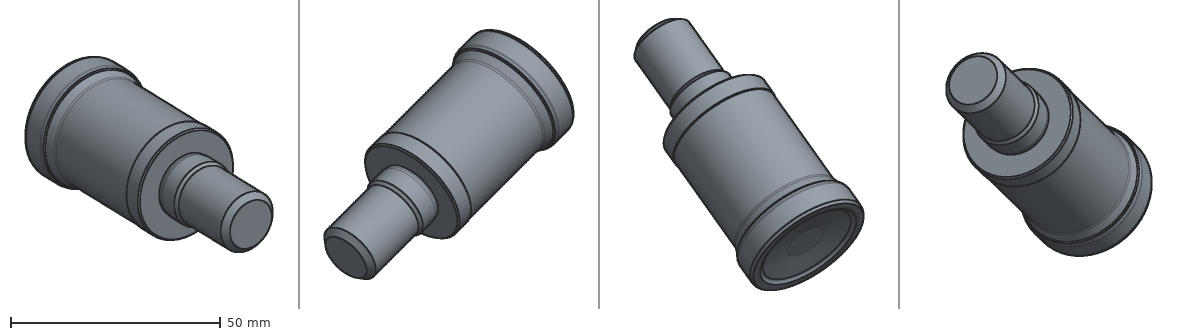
import cadquery as cq


cap_diameter = 31.95
cap_length = 7.3
cap_front_fillet = 0.8
cap_edge_land = 0.3
cap_edge_rise = 0.1
cap_rear_taper_start = 6.25
cap_rear_round_start = 6.5
cap_rear_diameter = 31.3
cap_rear_round = 1.35
cap_face_diameter = 30.45
lip_face_diameter = 28.4
lip_step_diameter = 27.05
lip_step_depth = 0.1
lip_cove_diameter = 26.65
lip_cove_start = 0.2
lip_cove_radius = 1.35
cap_bore_diameter = 24.75
dish_start = 0.75

dish_floor_diameter = 10.05
dish_depth = 0.9
cone_diameter = 30.6
cone_start = 7.6
cone_end_diameter = 29.0
cone_end = 9.9
barrel_diameter = 28.6
barrel_start = 10.55
collar_diameter = 29.0
collar_start = 37.95
collar_front_chamfer = 0.2
collar_end = 42.9
collar_chamfer = 0.4
relief_diameter = 16.6
relief_end = 43.5
boss_diameter = 17.0
boss_start = 44.35
boss_end = 49.1
stud_diameter = 15.8
stud_start = 50.05
total_length = 68.0
stud_chamfer = 1.55


def turn(profile):
    """Revolve a closed (X, radius) profile a full turn about the X axis."""
    return profile.close().revolve(360, (0, 0, 0), (1, 0, 0))


def make_cap():
    radius = cap_diameter / 2
    bore_radius = cap_bore_diameter / 2
    round_radius = radius - cap_edge_rise
    round_end = cap_edge_rise + cap_front_fillet
    face_radius = cap_face_diameter / 2
    profile = (
        cq.Workplane("XY")
        .moveTo(0, lip_face_diameter / 2)
        .lineTo(0, face_radius)
        .lineTo(cap_edge_rise, face_radius + cap_edge_land)
        .radiusArc((round_end, round_radius), cap_front_fillet)
        .lineTo(round_end + cap_edge_land, radius)
        .lineTo(cap_rear_taper_start, radius)
        .lineTo(cap_rear_round_start, round_radius)
        .radiusArc((cap_length, cap_rear_diameter / 2), cap_rear_round)
        .lineTo(cap_length, bore_radius)
        .lineTo(dish_start, bore_radius)
        .radiusArc((lip_cove_start, lip_cove_diameter / 2), -lip_cove_radius)
        .lineTo(lip_step_depth, lip_step_diameter / 2)
    )
    return turn(profile)


def make_housing():
    plug_radius = cap_bore_diameter / 2
    collar_radius = collar_diameter / 2
    stud_radius = stud_diameter / 2
    profile = (
        cq.Workplane("XY")
        .moveTo(dish_start + dish_depth, 0)
        .lineTo(dish_start + dish_depth, dish_floor_diameter / 2)
        .lineTo(dish_start, plug_radius)
        .lineTo(cap_length, plug_radius)
        .lineTo(cap_length, cap_rear_diameter / 2)
        .lineTo(cone_start, cone_diameter / 2)
        .lineTo(cone_end, cone_end_diameter / 2)
        .lineTo(barrel_start, barrel_diameter / 2)
        .lineTo(collar_start, barrel_diameter / 2)
        .lineTo(collar_start + collar_front_chamfer, collar_radius)
        .lineTo(collar_end - collar_chamfer, collar_radius)
        .lineTo(collar_end, collar_radius - collar_chamfer)
        .lineTo(collar_end, relief_diameter / 2)
        .lineTo(relief_end, relief_diameter / 2)
        .lineTo(boss_start, boss_diameter / 2)
        .lineTo(boss_end, boss_diameter / 2)
        .lineTo(stud_start, stud_radius)
        .lineTo(total_length - stud_chamfer, stud_radius)
        .lineTo(total_length, stud_radius - stud_chamfer)
        .lineTo(total_length, 0)
    )
    return turn(profile)


cap = make_cap()
housing = make_housing()
result = cq.Compound.makeCompound([cap.val(), housing.val()])